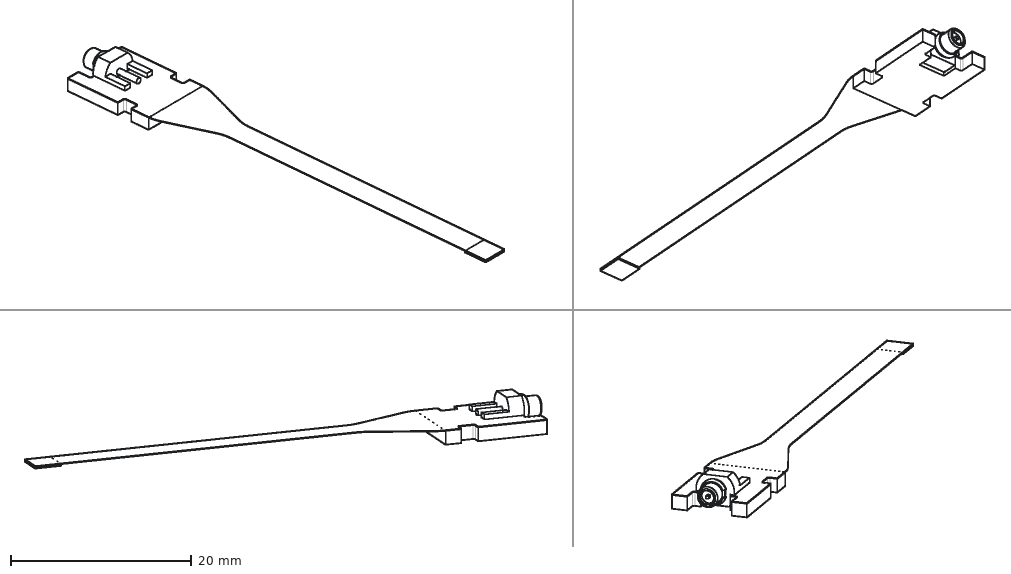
import cadquery as cq

stiffener_thickness = 1.6
flex_thickness = 0.1
flex_top = stiffener_thickness + flex_thickness
total_length = 60.79
total_height = 3.84

board_width = 8.9
board_start = 0.76
board_end = 12.9
board_half = board_width / 2
bay_width = 5.3
bay_end = 2.6
cutout_corner_radius = 0.22
seat_width = 3.5
seat_end = 4.6
notch_length = 2.0
notch_depth = 1.1
left_notch_start = 9.0
right_notch_start = 8.3

strip_width = 3.1
strip_half = strip_width / 2
taper_start = 13.7
taper_end = 21.6
taper_blend_radius = 4.5
tip_length = 3.1
tip_thickness = 0.2

axis_height = 2.06
solder_gap = 0.1
underside = flex_top + solder_gap
shell_radius = 2.28
shell_end = 4.43
base_bottom = 0.36
base_corner_radius = 0.15
lead_end = 7.38
lead_width = 0.9
lead_top = 2.38
center_lead_radius = axis_height - flex_top
barrel_radius = 1.2
barrel_chamfer = 0.2
collar_start = 1.65
collar_end = 2.48
collar_edge_radius = 1.32
collar_crown_radius = 1.52
neck_radius = 1.25
keyway_width = 0.92
keyway_floor = barrel_radius
bore_radius = 0.8
bore_depth = 0.5
contact_radius = 0.2
contact_start = 0.1


def box(x_start, x_end, y_start, y_end, z_start, z_end):
    """Block between two opposite corners."""
    size = (x_end - x_start, y_end - y_start, z_end - z_start)
    return cq.Workplane("XY").box(*size, centered=False).translate((x_start, y_start, z_start))


def rod(radius, x_start, x_end):
    """Cylinder on the connector axis."""
    plane = cq.Workplane("YZ", origin=(x_start, 0, axis_height))
    return plane.circle(radius).extrude(x_end - x_start)


def board_cutouts():
    """Openings shared by the board stiffener and the flex: plug bay, connector seat and side notches."""
    bay = box(board_start, bay_end, -bay_width / 2, bay_width / 2, 0, flex_top)
    bay = bay.edges("|Z and >X").fillet(cutout_corner_radius)
    seat = box(board_start, seat_end, -seat_width / 2, seat_width / 2, 0, flex_top)
    cutouts = bay.union(seat)

    left_notch_end = left_notch_start + notch_length
    left_notch = box(left_notch_start, left_notch_end, board_half - notch_depth, board_half, 0, flex_top)
    cutouts = cutouts.union(left_notch.edges("|Z and <Y").fillet(cutout_corner_radius))

    right_notch_end = right_notch_start + notch_length
    right_notch = box(right_notch_start, right_notch_end, -board_half, notch_depth - board_half, 0, flex_top)
    return cutouts.union(right_notch.edges("|Z and >Y").fillet(cutout_corner_radius))


def make_board_stiffener():
    """Thick plate under the wide end of the flex."""
    plate = box(board_start, board_end, -board_half, board_half, 0, stiffener_thickness)
    return plate.cut(board_cutouts())


def make_flex():
    """Thin sheet covering the board and tapering to a long narrow strip."""
    upper_outline = [
        (board_start, board_half),
        (taper_start, board_half),
        (taper_end, strip_half),
        (total_length, strip_half),
    ]
    lower_outline = [(x, -y) for x, y in reversed(upper_outline)]
    sheet = (
        cq.Workplane("XY", origin=(0, 0, stiffener_thickness))
        .polyline(upper_outline + lower_outline)
        .close()
        .extrude(flex_thickness)
    )
    blend_zone = cq.selectors.BoxSelector(
        (board_end, -board_width, 0), ((taper_end + total_length) / 2, board_width, total_height)
    )
    sheet = sheet.edges("|Z").edges(blend_zone).fillet(taper_blend_radius)
    return sheet.cut(board_cutouts())


def make_tip_stiffener():
    """Thin plate under the far end of the strip."""
    return box(
        total_length - tip_length,
        total_length,
        -strip_half,
        strip_half,
        stiffener_thickness - tip_thickness,
        stiffener_thickness,
    )


def connector_shell():
    """Round-shouldered shell with a flat top, and the base that drops into the board seat."""
    shell = rod(shell_radius, bay_end, shell_end)
    envelope = box(bay_end, shell_end, -shell_radius, shell_radius, underside, total_height)
    shell = shell.intersect(envelope)
    base = box(bay_end, shell_end, -seat_width / 2, seat_width / 2, base_bottom, underside)
    base = base.edges("|X and <Z").fillet(base_corner_radius)
    return shell.union(base)


def connector_leads():
    """Two flat-topped outer leads with rounded flanks, and a round center lead, behind the shell."""
    outer_leads = rod(shell_radius, shell_end, lead_end)
    center_gap_half = shell_radius - lead_width
    slab = box(shell_end, lead_end, -shell_radius, shell_radius, underside, lead_top)
    gap = box(shell_end, lead_end, -center_gap_half, center_gap_half, underside, lead_top)
    center_lead = rod(center_lead_radius, shell_end, lead_end)
    return outer_leads.intersect(slab.cut(gap)).union(center_lead)


def connector_plug():
    """Turned plug: chamfered barrel, crowned collar with a keyway, and a bore holding the contact."""
    plug = (
        cq.Workplane("XY")
        .moveTo(0, 0)
        .lineTo(0, barrel_radius - barrel_chamfer)
        .lineTo(barrel_chamfer, barrel_radius)
        .lineTo(collar_start, barrel_radius)
        .lineTo(collar_start, collar_edge_radius)
        .threePointArc(
            ((collar_start + collar_end) / 2, collar_crown_radius), (collar_end, collar_edge_radius)
        )
        .lineTo(collar_end, neck_radius)
        .lineTo(bay_end, neck_radius)
        .lineTo(bay_end, 0)
        .close()
        .revolve(360, (0, 0, 0), (1, 0, 0))
        .translate((0, 0, axis_height))
    )
    keyway = box(
        collar_start,
        collar_end,
        -shell_radius,
        -keyway_floor,
        axis_height - keyway_width / 2,
        axis_height + keyway_width / 2,
    )
    contact = rod(contact_radius, contact_start, bore_depth)
    return plug.cut(keyway).cut(rod(bore_radius, 0, bore_depth)).union(contact)


def make_connector():
    """Edge-mounted coaxial connector."""
    return connector_shell().union(connector_leads()).union(connector_plug())


board_stiffener = make_board_stiffener()
flex = make_flex()
tip_stiffener = make_tip_stiffener()
connector = make_connector()

result = cq.Compound.makeCompound(
    [board_stiffener.val(), flex.val(), tip_stiffener.val(), connector.val()]
)